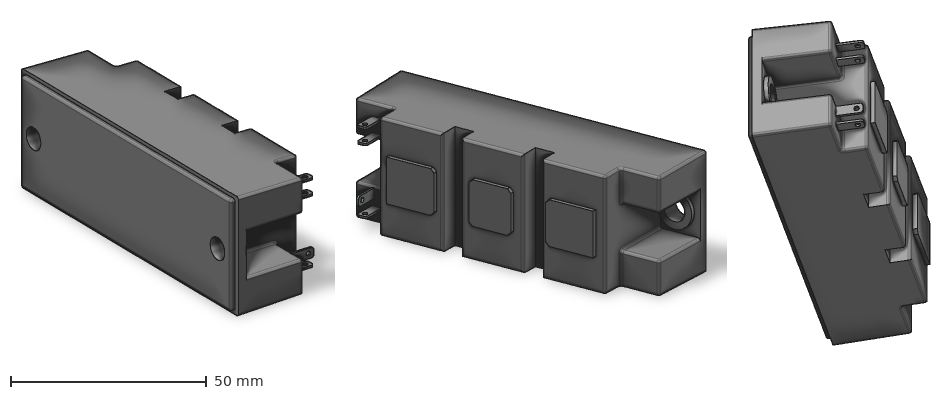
import cadquery as cq

plate_length = 91.5
plate_width = 31.6
plate_thickness = 1.4
plate_edge_radius = 0.8

housing_length = 94.55
housing_width = 33.8
top_y = 28.9
draft_angle = 1.0
edge_radius = 0.8

shoulder_y = 22.1
end_wall_x = 34.9
pocket_half_width = 6.5
pocket_floor_y = 4.0
inner_radius = 0.8

notch_inner_x = 9.55
notch_outer_x = 15.3
notch_floor_y = 23.45

hole_x = 40.1
hole_diameter = 6.3
ring_radius = 5.3
ring_top_y = 5.2

pad_top_y = 30.2
pad_width = 13.0
centre_pad_length = 13.0
outer_pad_inner_x = 17.2
outer_pad_outer_x = 31.9
pad_chamfer = 1.0

tab_x = 40.3
tab_width = 2.9
tab_thickness = 0.7
tab_top_y = 29.2
tab_corner_radius = 0.85
tab_hole_diameter = 1.3
tab_hole_y = 27.5
tab_z_places = (12.4, 7.85, -12.4)
cross_tab_z = -8.5
tab_root_depth = 1.9

overcut = 4.7
tolerance = 0.1
wall_band = 0.9


def plane_facing_up_y(y):
    """Sketch plane at height y, extruding along +Y."""
    return cq.Workplane(cq.Plane(origin=(0, y, 0), xDir=(1, 0, 0), normal=(0, 1, 0)))


def box_between(x_range, y_range, z_range):
    size = [high - low for low, high in (x_range, y_range, z_range)]
    middle = [(high + low) / 2 for low, high in (x_range, y_range, z_range)]
    return cq.Workplane("XY").box(*size).translate(tuple(middle))


def make_plate():
    plate = plane_facing_up_y(0).rect(plate_length, plate_width).extrude(plate_thickness)
    return plate.edges("|Y or <Y").fillet(plate_edge_radius)


def make_end_cutter():
    """Tool for the -X end: the space above the shoulder plus the pocket between the arms."""
    tool_half_width = housing_width / 2 + overcut
    tool_top = top_y + overcut
    cutter = (
        cq.Workplane("YZ", origin=(-end_wall_x, 0, 0))
        .polyline([
            (tool_top, -tool_half_width),
            (shoulder_y, -tool_half_width),
            (shoulder_y, -pocket_half_width),
            (pocket_floor_y, -pocket_half_width),
            (pocket_floor_y, pocket_half_width),
            (shoulder_y, pocket_half_width),
            (shoulder_y, tool_half_width),
            (tool_top, tool_half_width),
        ])
        .close()
        .extrude(end_wall_x - housing_length / 2 - overcut)
    )
    arm_corners = cq.selectors.BoxSelector(
        (-housing_length, shoulder_y - tolerance, -pocket_half_width - tolerance),
        (housing_length, shoulder_y + tolerance, pocket_half_width + tolerance),
    )
    cutter = cutter.edges("|X").edges(arm_corners).fillet(edge_radius)
    wall_edges = cutter.faces(">X").edges().filter(
        lambda edge: pocket_floor_y + tolerance < edge.Center().y < tool_top - tolerance
        and abs(edge.Center().z) < tool_half_width - tolerance
    )
    return cutter.newObject(wall_edges.vals()).fillet(inner_radius)


def is_rounded_outside(edge):
    """True for the outer edges of the housing that carry a fillet."""
    centre = edge.Center()
    if edge.BoundingBox().ymax < pocket_floor_y + tolerance:
        return False
    on_end = abs(centre.x) > housing_length / 2 - wall_band
    on_side = abs(centre.z) > housing_width / 2 - wall_band
    on_top = centre.y > top_y - tolerance
    in_notch = abs(centre.x) < end_wall_x - wall_band and centre.y < top_y - tolerance
    return on_end or on_top or (on_side and not in_notch)


def make_housing():
    housing = (
        plane_facing_up_y(plate_thickness)
        .rect(housing_length, housing_width)
        .extrude(top_y - plate_thickness, taper=draft_angle)
    )
    end_cutter = make_end_cutter()
    notch = box_between(
        (notch_inner_x, notch_outer_x),
        (notch_floor_y, top_y + overcut),
        (-housing_width, housing_width),
    )
    for cutter in (end_cutter, notch):
        housing = housing.cut(cutter).cut(cutter.mirror("YZ"))
    outer_edges = housing.edges().filter(is_rounded_outside)
    return housing.newObject(outer_edges.vals()).fillet(edge_radius)


def make_pads():
    """Centre pad chamfered on all corners, outer pads only on the corners facing it."""
    y_range = (top_y - edge_radius, pad_top_y)
    z_range = (-pad_width / 2, pad_width / 2)
    pads = box_between((-centre_pad_length / 2, centre_pad_length / 2), y_range, z_range)
    pads = pads.edges("|Y").chamfer(pad_chamfer)
    outer_pad = box_between((outer_pad_inner_x, outer_pad_outer_x), y_range, z_range)
    outer_pad = outer_pad.faces("<X").edges("|Y").chamfer(pad_chamfer)
    return pads.union(outer_pad).union(outer_pad.mirror("YZ"))


def make_tab():
    """Upright strip with a pierced, rounded tip, standing on x = 0, z = 0 and facing Z."""
    tab = box_between(
        (-tab_width / 2, tab_width / 2),
        (shoulder_y - tab_root_depth, tab_top_y),
        (-tab_thickness / 2, tab_thickness / 2),
    )
    tab = tab.faces(">Y").edges("|Z").fillet(tab_corner_radius)
    hole = (
        cq.Workplane("XY", origin=(0, tab_hole_y, 0))
        .circle(tab_hole_diameter / 2)
        .extrude(tab_thickness, both=True)
    )
    return tab.cut(hole)


result = make_plate().union(make_housing()).union(make_pads())

for side in (-1, 1):
    ring = plane_facing_up_y(plate_thickness).center(side * hole_x, 0).circle(ring_radius)
    result = result.union(ring.extrude(ring_top_y - plate_thickness))
for side in (-1, 1):
    hole = plane_facing_up_y(0).center(side * hole_x, 0).circle(hole_diameter / 2)
    result = result.cut(hole.extrude(ring_top_y))

for tab_z in tab_z_places:
    result = result.union(make_tab().translate((tab_x, 0, tab_z)))

cross_tab = make_tab().rotate((0, 0, 0), (0, 1, 0), 90)
cross_tab_x = tab_x + (tab_width - tab_thickness) / 2
result = result.union(cross_tab.translate((cross_tab_x, 0, cross_tab_z)))